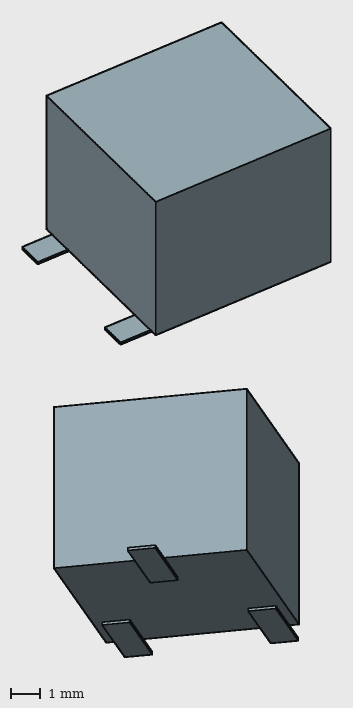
import cadquery as cq

housing_width = 6.71
housing_depth = 7.06
total_height = 5.94

lead_width = 0.96
lead_length = 3.06
lead_thickness = 0.1
lead_pitch = 2.54
lead_overhang = 1.2

housing_height = total_height - lead_thickness
lead_center_y = housing_depth / 2 + lead_overhang - lead_length / 2

lead_centers = [
    (-lead_pitch, -lead_center_y),
    (lead_pitch, -lead_center_y),
    (0, lead_center_y),
]


def make_housing():
    """Plain block resting on top of the leads."""
    return (
        cq.Workplane("XY")
        .workplane(offset=lead_thickness)
        .rect(housing_width, housing_depth)
        .extrude(housing_height)
    )


def make_lead(x, y):
    """Flat strip lying on the ground plane, centered at (x, y)."""
    return cq.Workplane("XY").center(x, y).rect(lead_width, lead_length).extrude(lead_thickness)


housing = make_housing()
leads = [make_lead(x, y) for x, y in lead_centers]

result = cq.Compound.makeCompound([housing.val(), *[lead.val() for lead in leads]])